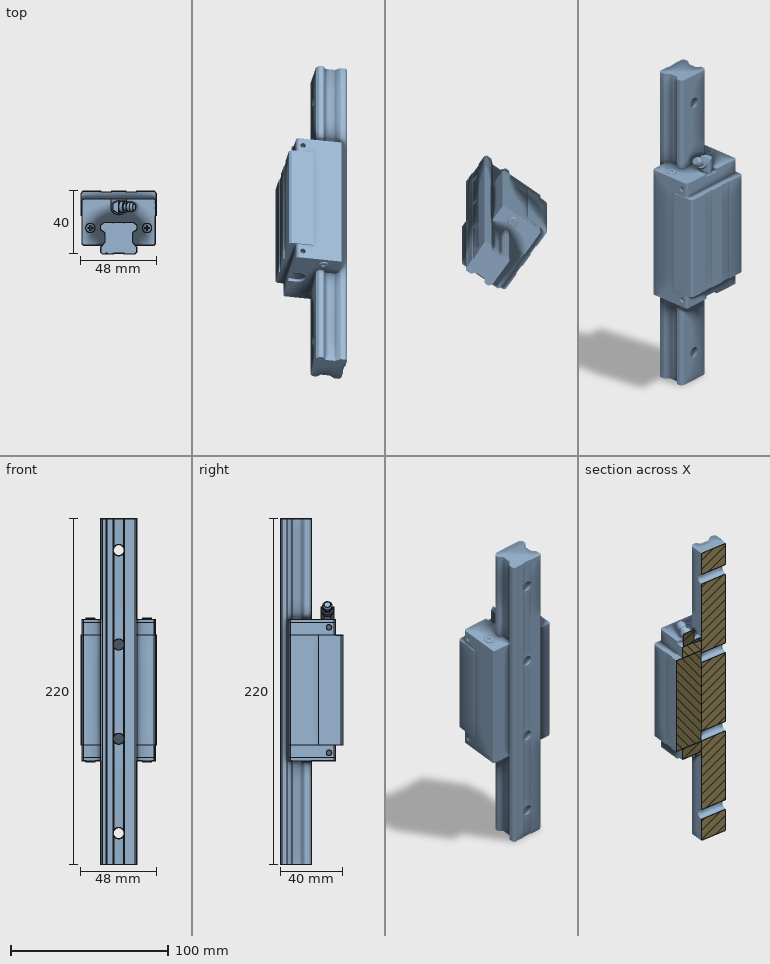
import cadquery as cq
import math


RAIL_LENGTH = 220.0
RAIL_HEIGHT = 20.0
RAIL_HALF_WIDTH = 11.5
RAIL_TOP_HALF_WIDTH = 9.5
RAIL_NECK_HALF_WIDTH = 8.8
RAIL_SHOULDER_Y = 18.4
RAIL_HEAD_LOW_Y = 15.6
RAIL_NECK_TOP_Y = 13.6
RAIL_NECK_LOW_Y = 7.6
RAIL_BASE_TOP_Y = 4.4
RAIL_FOOT_CHAMFER = 1.2
RELIEF_FLOOR_WIDTH = 6.0
RELIEF_MOUTH_WIDTH = 7.2
RELIEF_DEPTH = 0.5
RAIL_HEAD_FILLET = 1.0
RAIL_NECK_FILLET = 1.0
MARK_X = -7.8
MARK_WIDTH = 0.8
MARK_DEPTH = 0.4
MOUNT_HOLE_DIAMETER = 7.0
MOUNT_HOLE_PITCH = 60.0
MOUNT_HOLE_COUNT = 4

CARRIAGE_CENTRE_Z = 1.0
CARRIAGE_TOP_Y = 40.0
CARRIAGE_LOW_Y = 5.5
BLOCK_LENGTH = 70.0
BLOCK_HALF_WIDTH = 24.0
BLOCK_LOWER_HALF_WIDTH = 23.4
BLOCK_STEP_Y = 24.4
BLOCK_TOP_CHAMFER = 1.3
CARRIAGE_LOW_CHAMFER = 1.0
TOP_RECESS_INNER_X = 4.6
TOP_RECESS_OUTER_X = 11.3
TOP_RECESS_DEPTH = 0.5

CAP_THICKNESS = 8.0
CAP_TOP_Y = 35.2
CAP_HALF_WIDTH = BLOCK_LOWER_HALF_WIDTH
CAP_CHAMFER = 1.1
SIDE_HOLE_DIAMETER = 3.5
SIDE_HOLE_DEPTH = 3.0
SIDE_HOLE_Y = 31.0
SIDE_HOLE_OFFSET = 4.9
SEAL_THICKNESS = 2.0
NIPPLE_Y = 30.0
NOTCH_RADIUS = 5.0
SCREW_X = 18.0
SCREW_Y = 16.6
SCREW_HEAD_DIAMETER = 6.0
SCREW_HEAD_HEIGHT = 0.8
SCREW_HEAD_FILLET = 0.6
CROSS_LENGTH = 3.2
CROSS_WIDTH = 0.9
CROSS_DEPTH = 0.6

HEX_ACROSS_FLATS = 7.3
HEX_TOP_ABOVE_SEAL = 8.0
SPOUT_ANGLE = 30.0
COLLAR_DIAMETER = 7.3
COLLAR_LENGTH = 2.6
SPOUT_NECK_DIAMETER = 4.92
SPOUT_NECK_LENGTH = 2.2
SPOUT_HEAD_DIAMETER = 6.0
SPOUT_HEAD_LENGTH = 2.6
SPOUT_TIP_DIAMETER = 4.2
SPOUT_CONE_LENGTH = 1.8

BLOCK_END = BLOCK_LENGTH / 2
CAP_END = BLOCK_END + CAP_THICKNESS
SEAL_END = CAP_END + SEAL_THICKNESS


def mirrored_outline(right_side):
    """Close a half outline, listed from low to high Y on the +X side, by mirroring it in X."""
    left_side = [(-x, y) for x, y in reversed(right_side)]
    return cq.Workplane("XY").polyline(right_side + left_side).close()


def fillet_long_edges(bar, places, radius):
    """Round the edges parallel to Z that pass through the given X, Y places."""
    picked = bar.edges(cq.NearestToPointSelector((*places[0], 0)))
    for place in places[1:]:
        picked = picked.add(bar.edges(cq.NearestToPointSelector((*place, 0))))
    return picked.fillet(radius)


def rail_bar():
    """Plain rail section, also the passage through the carriage."""
    outline = [
        (RAIL_HALF_WIDTH - RAIL_FOOT_CHAMFER, 0),
        (RAIL_HALF_WIDTH, RAIL_FOOT_CHAMFER),
        (RAIL_HALF_WIDTH, RAIL_BASE_TOP_Y),
        (RAIL_NECK_HALF_WIDTH, RAIL_NECK_LOW_Y),
        (RAIL_NECK_HALF_WIDTH, RAIL_NECK_TOP_Y),
        (RAIL_HALF_WIDTH, RAIL_HEAD_LOW_Y),
        (RAIL_HALF_WIDTH, RAIL_SHOULDER_Y),
        (RAIL_TOP_HALF_WIDTH, RAIL_HEIGHT),
    ]
    bar = mirrored_outline(outline).extrude(RAIL_LENGTH / 2, both=True)
    head_edges = []
    neck_edges = []
    for side in (-1, 1):
        head_edges += [(side * RAIL_HALF_WIDTH, RAIL_HEAD_LOW_Y), (side * RAIL_HALF_WIDTH, RAIL_SHOULDER_Y)]
        neck_edges += [(side * RAIL_NECK_HALF_WIDTH, RAIL_NECK_TOP_Y)]
    bar = fillet_long_edges(bar, head_edges, RAIL_HEAD_FILLET)
    return fillet_long_edges(bar, neck_edges, RAIL_NECK_FILLET)


def make_rail():
    """Rail with a shallow relief and a reference mark along its foot, and its mounting holes."""
    rail = rail_bar()
    relief = (
        mirrored_outline([(RELIEF_MOUTH_WIDTH / 2, 0), (RELIEF_FLOOR_WIDTH / 2, RELIEF_DEPTH)])
        .extrude(RAIL_LENGTH / 2, both=True)
    )
    mark = (
        cq.Workplane("XY")
        .center(MARK_X, 0)
        .rect(MARK_WIDTH, 2 * MARK_DEPTH)
        .extrude(RAIL_LENGTH / 2, both=True)
    )
    holes = (
        cq.Workplane("XZ")
        .rarray(1, MOUNT_HOLE_PITCH, 1, MOUNT_HOLE_COUNT)
        .circle(MOUNT_HOLE_DIAMETER / 2)
        .extrude(-RAIL_HEIGHT)
    )
    return rail.cut(relief).cut(mark).cut(holes)


def make_block():
    """Carriage block, stepped in below its wider upper part and with two shallow recesses on top."""
    outline = [
        (BLOCK_LOWER_HALF_WIDTH - CARRIAGE_LOW_CHAMFER, CARRIAGE_LOW_Y),
        (BLOCK_LOWER_HALF_WIDTH, CARRIAGE_LOW_Y + CARRIAGE_LOW_CHAMFER),
        (BLOCK_LOWER_HALF_WIDTH, BLOCK_STEP_Y),
        (BLOCK_HALF_WIDTH, BLOCK_STEP_Y),
        (BLOCK_HALF_WIDTH, CARRIAGE_TOP_Y - BLOCK_TOP_CHAMFER),
        (BLOCK_HALF_WIDTH - BLOCK_TOP_CHAMFER, CARRIAGE_TOP_Y),
        (TOP_RECESS_OUTER_X, CARRIAGE_TOP_Y),
        (TOP_RECESS_OUTER_X, CARRIAGE_TOP_Y - TOP_RECESS_DEPTH),
        (TOP_RECESS_INNER_X, CARRIAGE_TOP_Y - TOP_RECESS_DEPTH),
        (TOP_RECESS_INNER_X, CARRIAGE_TOP_Y),
    ]
    return mirrored_outline(outline).extrude(BLOCK_LENGTH / 2, both=True).cut(rail_bar())


def end_plate(start_z, thickness):
    """Plate with the outline shared by end caps and seals, open around the rail."""
    outline = [
        (CAP_HALF_WIDTH - CARRIAGE_LOW_CHAMFER, CARRIAGE_LOW_Y),
        (CAP_HALF_WIDTH, CARRIAGE_LOW_Y + CARRIAGE_LOW_CHAMFER),
        (CAP_HALF_WIDTH, CAP_TOP_Y - CAP_CHAMFER),
        (CAP_HALF_WIDTH - CAP_CHAMFER, CAP_TOP_Y),
    ]
    return mirrored_outline(outline).extrude(thickness).translate((0, 0, start_z)).cut(rail_bar())


def make_end_cap():
    """End cap on the +Z end of the block, with a blind hole in each side."""
    cap = end_plate(BLOCK_END, CAP_THICKNESS)
    for side in (-1, 1):
        hole = (
            cq.Workplane("YZ", origin=(side * CAP_HALF_WIDTH, SIDE_HOLE_Y, BLOCK_END + SIDE_HOLE_OFFSET))
            .circle(SIDE_HOLE_DIAMETER / 2)
            .extrude(-side * SIDE_HOLE_DEPTH)
        )
        cap = cap.cut(hole)
    return cap


def make_seal():
    """Seal on the +Z end cap, with a notch around the nipple and two cross-recessed screw heads."""
    seal = end_plate(CAP_END, SEAL_THICKNESS)
    face = cq.Workplane("XY", origin=(0, 0, CAP_END))
    notch_height = CAP_TOP_Y - NIPPLE_Y
    notch = face.center(0, NIPPLE_Y).circle(NOTCH_RADIUS).extrude(SEAL_THICKNESS)
    notch = notch.union(
        face.center(0, NIPPLE_Y + notch_height / 2)
        .rect(2 * NOTCH_RADIUS, notch_height)
        .extrude(SEAL_THICKNESS)
    )
    seal = seal.cut(notch)
    for x in (-SCREW_X, SCREW_X):
        outer_face = cq.Workplane("XY", origin=(x, SCREW_Y, SEAL_END))
        head = outer_face.circle(SCREW_HEAD_DIAMETER / 2).extrude(SCREW_HEAD_HEIGHT)
        head = head.faces(">Z").fillet(SCREW_HEAD_FILLET)
        head_top = outer_face.workplane(offset=SCREW_HEAD_HEIGHT)
        cross = head_top.rect(CROSS_LENGTH, CROSS_WIDTH).extrude(-CROSS_DEPTH)
        cross = cross.union(head_top.rect(CROSS_WIDTH, CROSS_LENGTH).extrude(-CROSS_DEPTH))
        seal = seal.union(head).cut(cross)
    return seal


def make_nipple():
    """Hexagonal base with a sloped face on its +X side that carries an angled grease spout."""
    hex_corners = HEX_ACROSS_FLATS / math.cos(math.pi / 6)
    hex_half = HEX_ACROSS_FLATS / 2
    hex_height = SEAL_THICKNESS + HEX_TOP_ABOVE_SEAL
    slope = math.tan(math.radians(90 - SPOUT_ANGLE))
    slope_drop = hex_half * slope
    top_z = CAP_END + hex_height

    base = cq.Workplane("XY", origin=(0, 0, CAP_END)).polygon(6, hex_corners).extrude(hex_height)
    base = base.rotate((0, 0, 0), (0, 0, 1), 90)
    wedge = (
        cq.Workplane("XZ")
        .polyline([(0, top_z), (2 * hex_half, top_z), (2 * hex_half, top_z - 2 * slope_drop)])
        .close()
        .extrude(hex_corners, both=True)
    )
    base = base.cut(wedge)

    neck_start = COLLAR_LENGTH
    head_start = neck_start + SPOUT_NECK_LENGTH
    cone_start = head_start + SPOUT_HEAD_LENGTH
    tip = cone_start + SPOUT_CONE_LENGTH
    points = [
        (0, 0),
        (0, COLLAR_DIAMETER / 2),
        (neck_start, COLLAR_DIAMETER / 2),
        (neck_start, SPOUT_NECK_DIAMETER / 2),
        (head_start, SPOUT_NECK_DIAMETER / 2),
        (head_start, SPOUT_HEAD_DIAMETER / 2),
        (cone_start, SPOUT_HEAD_DIAMETER / 2),
        (tip, SPOUT_TIP_DIAMETER / 2),
        (tip, 0),
    ]
    spout = cq.Workplane("XY").polyline(points).close().revolve(360, (0, 0, 0), (1, 0, 0))
    spout = spout.rotate((0, 0, 0), (0, 1, 0), -SPOUT_ANGLE)
    spout = spout.translate((hex_half / 2, 0, top_z - slope_drop / 2))
    return base.union(spout).translate((0, NIPPLE_Y, 0))


carriage_shift = (0, 0, CARRIAGE_CENTRE_Z)

rail = make_rail()
block = make_block().translate(carriage_shift)
nipple = make_nipple().translate(carriage_shift)
end_caps = []
seals = []
for turned in (False, True):
    cap = make_end_cap()
    seal = make_seal()
    if turned:
        cap = cap.mirror("XY")
        seal = seal.mirror("XY")
    end_caps.append(cap.translate(carriage_shift))
    seals.append(seal.translate(carriage_shift))

result = cq.Compound.makeCompound(
    [rail.val(), block.val(), nipple.val()]
    + [cap.val() for cap in end_caps]
    + [seal.val() for seal in seals]
)